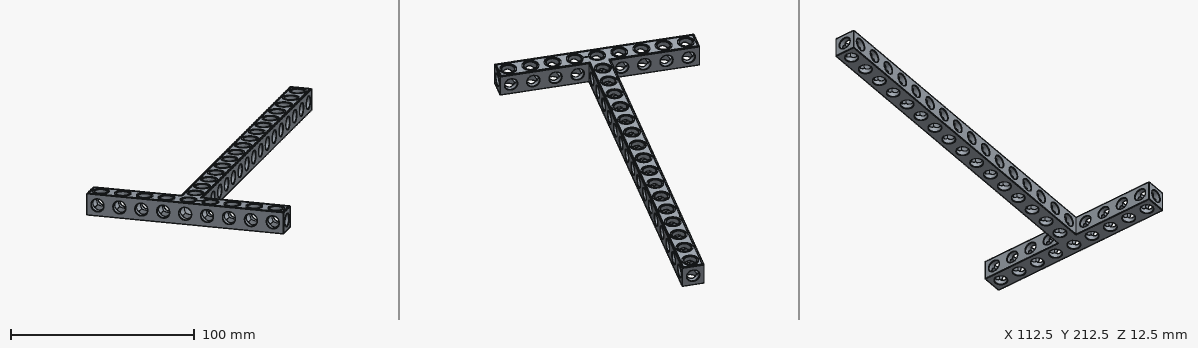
import cadquery as cq
pitch = 12.5
bar_holes = 9
stem_holes = 16
hole_diameter = 7.0
edge_chamfer = 0.3

rim_width = 1.0
recess_depth = 0.2
collar_diameter = 9.2
rib_width = 0.4

bar_length = bar_holes * pitch
half_pitch = pitch / 2
floor_height = pitch - recess_depth
stem_end = (stem_holes + 0.5) * pitch

bar_xs = [(i - (bar_holes - 1) / 2) * pitch for i in range(bar_holes)]
stem_ys = [(i + 1) * pitch for i in range(stem_holes)]
top_centres = [(x, 0) for x in bar_xs] + [(0, y) for y in stem_ys]


def tee_prism(inset, bottom, top):
    """T-shaped prism whose outline lies inset inside the outline of the beam."""
    half_bar = bar_length / 2 - inset
    half_width = half_pitch - inset
    outline = [
        (-half_bar, -half_width),
        (half_bar, -half_width),
        (half_bar, half_width),
        (half_width, half_width),
        (half_width, stem_end - inset),
        (-half_width, stem_end - inset),
        (-half_width, half_width),
        (-half_bar, half_width),
    ]
    return cq.Workplane("XY").workplane(offset=bottom).polyline(outline).close().extrude(top - bottom)


def chamfered_beam():
    """Solid beam with its outer edges chamfered and the two inner corners left sharp."""
    beam = tee_prism(0, 0, pitch)
    inner_corners = cq.selectors.BoxSelector(
        (-pitch, half_pitch - edge_chamfer, 0),
        (pitch, half_pitch + edge_chamfer, pitch),
    )
    vertical_edges = cq.selectors.ParallelDirSelector(cq.Vector(0, 0, 1))
    return beam.edges(vertical_edges - inner_corners).chamfer(edge_chamfer).faces("|Z").chamfer(edge_chamfer)


def top_recess():
    """Space above the floor, between the rim, the collars and the rib."""
    floor = cq.Workplane("XY").workplane(offset=floor_height)
    collars = floor.pushPoints(top_centres).circle(collar_diameter / 2).extrude(recess_depth)
    rib = floor.center(half_pitch, 0).rect(pitch, rib_width).extrude(recess_depth)
    return tee_prism(rim_width, floor_height, pitch).cut(collars).cut(rib)


def through_hole(start, direction, length):
    """Cutter for a straight hole with a chamfered mouth at each end."""
    entry = cq.Vector(*start)
    inward = cq.Vector(*direction)
    radius = hole_diameter / 2
    mouth_radius = radius + edge_chamfer
    hole = cq.Solid.makeCylinder(radius, length, entry, inward)
    entry_mouth = cq.Solid.makeCone(mouth_radius, radius, edge_chamfer, entry, inward)
    exit_mouth = cq.Solid.makeCone(mouth_radius, radius, edge_chamfer, entry + inward * length, inward * -1)
    return hole.fuse(entry_mouth, exit_mouth)


def hole_cutters():
    """Cutters for every hole of the beam, along Z, Y and X."""
    cutters = [through_hole((x, y, 0), (0, 0, 1), pitch) for x, y in top_centres]
    for x in bar_xs:
        length = half_pitch + stem_end if x == 0 else pitch
        cutters.append(through_hole((x, -half_pitch, half_pitch), (0, 1, 0), length))
    cutters.append(through_hole((-bar_length / 2, 0, half_pitch), (1, 0, 0), bar_length))
    for y in stem_ys:
        cutters.append(through_hole((-half_pitch, y, half_pitch), (1, 0, 0), pitch))
    return cutters


def build_beam():
    beam = chamfered_beam().cut(top_recess())
    for cutter in hole_cutters():
        beam = beam.cut(cutter)
    return beam


result = build_beam()